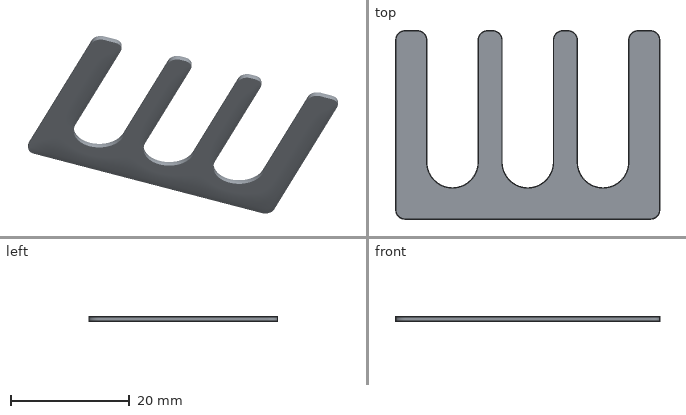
import cadquery as cq

length = 44.45
depth = 31.75
thickness = 0.8

slot_count = 3
slot_width = 8.62
slot_pitch = 12.65
spine_width = 5.3
corner_radius = 1.6

slot_radius = slot_width / 2
slot_center_y = -depth / 2 + spine_width + slot_radius


def slot_cutter(center_x):
    """Through slot with a half-round closed end, running out of the +Y edge."""
    left = center_x - slot_radius
    right = center_x + slot_radius
    open_end_y = depth / 2
    return (
        cq.Workplane("XY")
        .moveTo(left, open_end_y)
        .lineTo(left, slot_center_y)
        .threePointArc((center_x, slot_center_y - slot_radius), (right, slot_center_y))
        .lineTo(right, open_end_y)
        .close()
        .extrude(thickness)
    )


plate = cq.Workplane("XY").box(length, depth, thickness, centered=(True, True, False))
for index in range(slot_count):
    offset = index - (slot_count - 1) / 2
    plate = plate.cut(slot_cutter(offset * slot_pitch))

plate = plate.faces(">Y").edges("|Z").fillet(corner_radius)
result = plate.faces("<Y").edges("|Z").fillet(corner_radius)